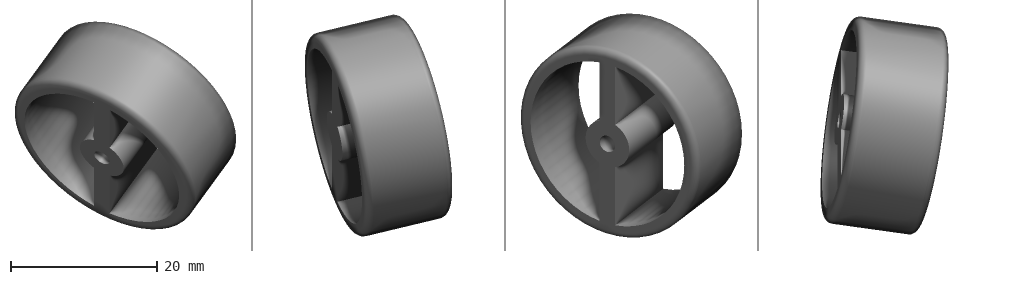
import cadquery as cq

outer_diameter = 28.65
inner_diameter = 24.65
wheel_width = 12.6
rim_fillet = 1.0
hub_diameter = 7.0
bore_diameter = 2.45
bore_depth = 10.03
web_thickness = 2.5

front_y = -wheel_width / 2


def cylinder(diameter, length):
    """Solid cylinder along Y, starting at the front face."""
    return (
        cq.Workplane("XZ", origin=(0, front_y, 0))
        .circle(diameter / 2)
        .extrude(-length)
    )


rim = cylinder(outer_diameter, wheel_width).edges().fillet(rim_fillet)
rim = rim.cut(cylinder(inner_diameter, wheel_width))

web_height = inner_diameter + rim_fillet
web = cq.Workplane("XY").box(web_thickness, wheel_width, web_height)

hub = cylinder(hub_diameter, wheel_width)
bore = cylinder(bore_diameter, bore_depth)

result = rim.union(web).union(hub).cut(bore)